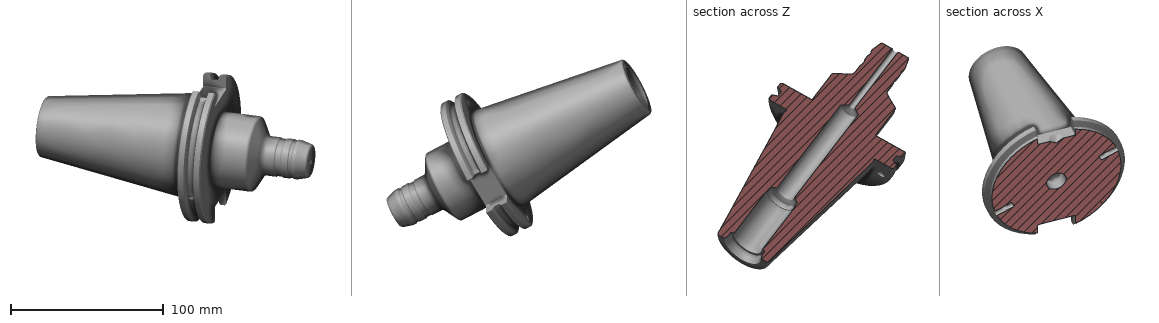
import cadquery as cq
import math

length = 182.1

taper_length = 101.6
gauge_radius = 35.0
taper_end_radius = gauge_radius - taper_length * 7 / 48
taper_end_chamfer = 0.7

gauge_band_end = 102.9
relief_radius = 34.5
relief_start = 104.2

flange_start = 104.9
flange_end = 120.5
flange_mid = (flange_start + flange_end) / 2
flange_radius = 49.2
flange_chamfer_length = 0.7
flange_chamfer_depth = 1.1
groove_radius = 45.2
groove_floor_width = 3.8
groove_mouth_width = 7.0

body_radius = 25.0
body_root_fillet = 0.7
shoulder_start = 145.0
shoulder_angle = 60
shoulder_outer_fillet = 2.0
shoulder_inner_fillet = 3.0

spigot_radius = 26.0 / 2
ring_groove_radius = 25.0 / 2
ring_groove_wall = spigot_radius - ring_groove_radius
ring_grooves = [(160.2, 165.0), (169.4, 172.3)]
nose_start = 174.5
nose_radius = 11.1
nose_chamfer = 0.7

bore_mouth_radius = 14.4
bore_mouth_depth = 3.1
counterbore_radius = 13.1
counterbore_depth = 6.4
bore_radius = 22.0 / 2
bore_depth = 45.5
drill_radius = 20.5 / 2
drill_depth = 49.2
pilot_radius = 6.7
pilot_depth = 127.5
through_radius = 4.2 / 2
drill_tip_angle = 118

slot_width = 26.0
slot_floor_top = 37.9
slot_floor_bottom = 35.5
slot_corner_fillet = 0.7
dimple_diameter = 9.5

coolant_angle = 20
coolant_radius = 42.0
coolant_mouth_diameter = 5.0
coolant_mouth_depth = 1.8
coolant_diameter = 4.2
coolant_tilt = 34
coolant_length = 11.0
cross_hole_diameter = 4.2
cross_hole_depth = 12.7


def revolved(points):
    """Solid of revolution about X from (x, radius) points that start and end on the axis."""
    return cq.Workplane("XZ").polyline(points).close().revolve(360, (0, 0, 0), (1, 0, 0))


def ring_edge(body, x, radius):
    """The outermost circular edge of a revolved body within the given radius at x."""
    tol = 0.02
    corner = (x + tol, radius + tol, radius + tol)
    opposite = (x - tol, -radius - tol, -radius - tol)
    near = body.edges(cq.selectors.BoxSelector(opposite, corner, boundingbox=True))
    return near.edges(cq.selectors.RadiusNthSelector(-1))


def cone_length(outer, inner, half_angle):
    return (outer - inner) / math.tan(math.radians(half_angle))


def make_body():
    shoulder_end = shoulder_start + cone_length(body_radius, spigot_radius, shoulder_angle)
    points = [
        (0, 0),
        (0, taper_end_radius - taper_end_chamfer),
        (taper_end_chamfer, taper_end_radius),
        (taper_length, gauge_radius),
        (gauge_band_end, gauge_radius),
        (relief_start, relief_radius),
        (flange_start, relief_radius),
        (flange_start, flange_radius - flange_chamfer_depth),
        (flange_start + flange_chamfer_length, flange_radius),
        (flange_mid - groove_mouth_width / 2, flange_radius),
        (flange_mid - groove_floor_width / 2, groove_radius),
        (flange_mid + groove_floor_width / 2, groove_radius),
        (flange_mid + groove_mouth_width / 2, flange_radius),
        (flange_end - flange_chamfer_length, flange_radius),
        (flange_end, flange_radius - flange_chamfer_depth),
        (flange_end, body_radius),
        (shoulder_start, body_radius),
        (shoulder_end, spigot_radius),
    ]
    for start, end in ring_grooves:
        points += [
            (start, spigot_radius),
            (start + ring_groove_wall, ring_groove_radius),
            (end - ring_groove_wall, ring_groove_radius),
            (end, spigot_radius),
        ]
    points += [
        (nose_start, spigot_radius),
        (length - nose_chamfer, nose_radius),
        (length, nose_radius - nose_chamfer),
        (length, 0),
    ]
    body = revolved(points)
    body = ring_edge(body, flange_end, body_radius).fillet(body_root_fillet)
    body = ring_edge(body, shoulder_start, body_radius).fillet(shoulder_outer_fillet)
    return ring_edge(body, shoulder_end, spigot_radius).fillet(shoulder_inner_fillet)


def make_bore():
    half_tip = drill_tip_angle / 2
    return revolved([
        (0, 0),
        (0, bore_mouth_radius),
        (bore_mouth_depth, counterbore_radius),
        (counterbore_depth, counterbore_radius),
        (counterbore_depth, bore_radius),
        (bore_depth, bore_radius),
        (bore_depth, drill_radius),
        (drill_depth, drill_radius),
        (drill_depth + cone_length(drill_radius, pilot_radius, half_tip), pilot_radius),
        (pilot_depth, pilot_radius),
        (pilot_depth + cone_length(pilot_radius, through_radius, half_tip), through_radius),
        (length, through_radius),
        (length, 0),
    ])


def make_slot(floor):
    """Drive slot running outward from its floor, on the +Z side."""
    slot = cq.Workplane("XY").box(
        flange_end - flange_start, slot_width, flange_radius, centered=(True, True, False)
    )
    slot = slot.edges("|X and <Z").fillet(slot_corner_fillet)
    return slot.translate((flange_mid, 0, floor))


def make_dimple():
    """Conical dimple in the floor of the upper drive slot."""
    radius = dimple_diameter / 2
    depth = cone_length(radius, 0, drill_tip_angle / 2)
    cone = cq.Solid.makeCone(radius, 0, depth, (flange_mid, 0, slot_floor_top), (0, 0, -1))
    return cq.Workplane(cone)


def make_coolant_hole():
    """Tilted hole from the flange face and the radial hole that meets it, on the +Y side."""
    tilt = math.radians(coolant_tilt)
    direction = cq.Vector(math.cos(tilt), -math.sin(tilt), 0)
    mouth = cq.Vector(flange_start, coolant_radius, 0)
    lead = 3.6
    mouth_bore = cq.Solid.makeCylinder(
        coolant_mouth_diameter / 2, coolant_mouth_depth + lead, mouth - direction * lead, direction
    )
    tilted = cq.Solid.makeCylinder(coolant_diameter / 2, coolant_length, mouth, direction)
    radial = cq.Solid.makeCylinder(
        cross_hole_diameter / 2,
        cross_hole_depth + lead,
        cq.Vector(flange_mid, groove_radius + lead, 0),
        cq.Vector(0, -1, 0),
    )
    return cq.Workplane(mouth_bore.fuse(tilted, radial)).rotate((0, 0, 0), (1, 0, 0), coolant_angle)


def half_turn(shape):
    return shape.rotate((0, 0, 0), (1, 0, 0), 180)


result = make_body().cut(make_bore())
result = result.cut(make_slot(slot_floor_top)).cut(make_dimple())
result = result.cut(half_turn(make_slot(slot_floor_bottom)))
coolant_hole = make_coolant_hole()
result = result.cut(coolant_hole).cut(half_turn(coolant_hole))